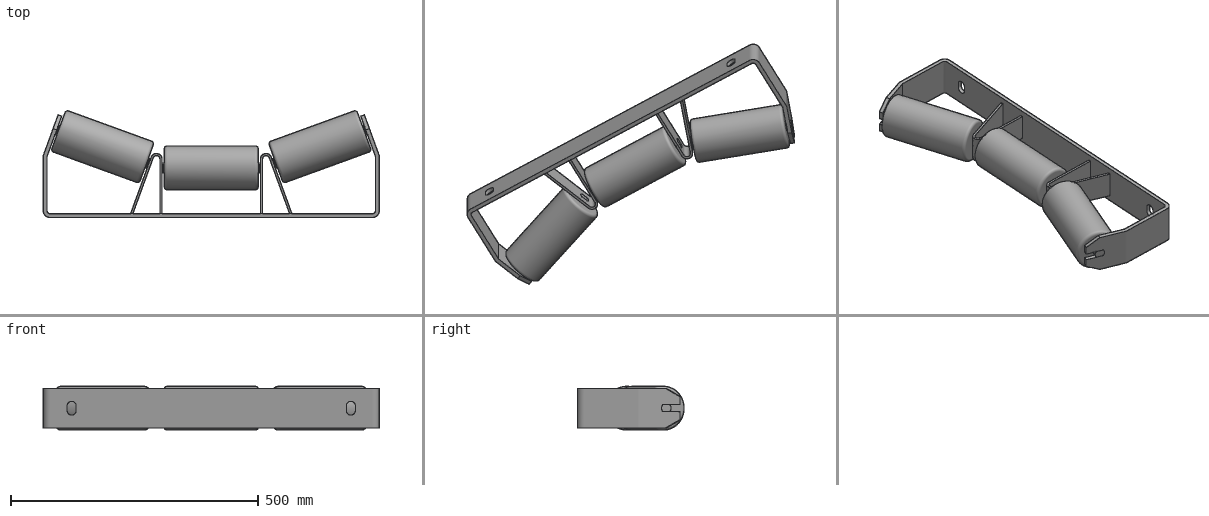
import cadquery as cq
import math

FRAME_LENGTH = 680.0
FRAME_HALF = FRAME_LENGTH / 2
FRAME_WIDTH = 80.0
FRAME_THICKNESS = 8.0
CORNER_RADIUS = 14.0
CORNER_INNER_RADIUS = CORNER_RADIUS - FRAME_THICKNESS
SLOT_WIDTH = 18.5
SLOT_HEIGHT = 28.0
SLOT_X = 282.0

ROLLER_DIAMETER = 89.0
ROLLER_LENGTH = 190.5
ROLLER_FILLET = 6.0
TILT = 20.0
MIDDLE_ROLLER_Y = 100.5
SIDE_ROLLER_X = 219.5
SIDE_ROLLER_Y = 143.5

SHAFT_DIAMETER = 20.5
SHAFT_FLATS = 14.0
SHOULDER_LENGTH = 2.0

HANGER_GAP = 4.0
FRAME_GAP = 3.5
HANGER_OFFSET = ROLLER_LENGTH / 2 + HANGER_GAP
FRAME_OFFSET = ROLLER_LENGTH / 2 + FRAME_GAP

HANGER_WIDTH = 54.5
HANGER_THICKNESS = 5.0
HANGER_BEND_RADIUS = 11.5
HANGER_INNER_RADIUS = HANGER_BEND_RADIUS - HANGER_THICKNESS

END_REACH = 30.0
TIP_WIDTH = 47.5

SIN = math.sin(math.radians(TILT))
COS = math.cos(math.radians(TILT))
TAN = SIN / COS

MIDDLE_ROLLER = (0, MIDDLE_ROLLER_Y, 0)
RIGHT_ROLLER = (SIDE_ROLLER_X, SIDE_ROLLER_Y, TILT)
LEFT_ROLLER = (-SIDE_ROLLER_X, SIDE_ROLLER_Y, -TILT)


def place(shape, roller_place):
    """Move a shape built around a level roller axis to a roller's place."""
    x, y, angle = roller_place
    return shape.rotate((0, 0, 0), (0, 0, 1), angle).translate((x, y, 0))


def right_roller_point(along, across):
    """Point given along and across the axis of the right roller."""
    x = SIDE_ROLLER_X + along * COS - across * SIN
    y = SIDE_ROLLER_Y + along * SIN + across * COS
    return (x, y)


def point_at_x(along, x):
    """Point at x on the right-hand tilted plane that lies 'along' the right roller axis."""
    start_x, start_y = right_roller_point(along, 0)
    return (x, start_y - (x - start_x) / TAN)


def point_at_y(along, y):
    """Point at y on the right-hand tilted plane that lies 'along' the right roller axis."""
    start_x, start_y = right_roller_point(along, 0)
    return (start_x - (y - start_y) * TAN, y)


def shaft_end(start, length):
    """Round bar with two flats facing up and down."""
    bar = cq.Workplane("YZ", origin=(start, 0, 0)).circle(SHAFT_DIAMETER / 2).extrude(length)
    between_flats = cq.Workplane("YZ", origin=(start, 0, 0)).rect(SHAFT_DIAMETER, SHAFT_FLATS).extrude(length)
    return bar.intersect(between_flats)


def roller(left_reach, right_reach):
    """Roller whose flatted shaft ends reach the given distances from its middle."""
    half_shoulders = ROLLER_LENGTH / 2 + SHOULDER_LENGTH
    shell = (
        cq.Workplane("YZ", origin=(-ROLLER_LENGTH / 2, 0, 0))
        .circle(ROLLER_DIAMETER / 2)
        .extrude(ROLLER_LENGTH)
        .edges()
        .fillet(ROLLER_FILLET)
    )
    shoulders = (
        cq.Workplane("YZ", origin=(-half_shoulders, 0, 0))
        .circle(SHAFT_DIAMETER / 2)
        .extrude(2 * half_shoulders)
    )
    return shell.union(shoulders).union(shaft_end(-left_reach, left_reach + right_reach))


def frame_end_cutter():
    """Corners and open shaft slot to remove from a frame end, placed around a level roller axis."""
    inner_face = cq.Plane.named("YZ", (FRAME_OFFSET, 0, 0))
    slot = (
        cq.Workplane(inner_face)
        .center(END_REACH / 2, 0)
        .rect(END_REACH, SHAFT_FLATS)
        .extrude(FRAME_THICKNESS)
    )
    cutter = slot.union(shaft_end(FRAME_OFFSET, FRAME_THICKNESS))
    for side in (-1, 1):
        corner = [
            (0, side * FRAME_WIDTH / 2),
            (END_REACH, side * FRAME_WIDTH / 2),
            (END_REACH, side * TIP_WIDTH / 2),
        ]
        cutter = cutter.union(cq.Workplane(inner_face).polyline(corner).close().extrude(FRAME_THICKNESS))
    return cutter


def frame_half_profile():
    """Right half of the bent strip seen along Z."""
    inner_x = FRAME_HALF - FRAME_THICKNESS
    outer_plane = FRAME_OFFSET + FRAME_THICKNESS
    pivot_x, pivot_y = point_at_x(FRAME_OFFSET, inner_x)

    def bend_point(angle):
        radians = math.radians(angle)
        return (pivot_x + FRAME_THICKNESS * math.cos(radians), pivot_y + FRAME_THICKNESS * math.sin(radians))

    return (
        cq.Workplane("XY")
        .moveTo(0, 0)
        .lineTo(FRAME_HALF - CORNER_RADIUS, 0)
        .radiusArc((FRAME_HALF, CORNER_RADIUS), -CORNER_RADIUS)
        .lineTo(FRAME_HALF, pivot_y)
        .threePointArc(bend_point(TILT / 2), bend_point(TILT))
        .lineTo(*right_roller_point(outer_plane, END_REACH))
        .lineTo(*right_roller_point(FRAME_OFFSET, END_REACH))
        .lineTo(pivot_x, pivot_y)
        .lineTo(inner_x, CORNER_RADIUS)
        .radiusArc((FRAME_HALF - CORNER_RADIUS, FRAME_THICKNESS), CORNER_INNER_RADIUS)
        .lineTo(0, FRAME_THICKNESS)
        .close()
    )


def frame():
    """Base strip with upturned sides whose ends lean in square to the side rollers."""
    half = frame_half_profile().extrude(FRAME_WIDTH / 2, both=True)
    half = half.cut(place(frame_end_cutter(), RIGHT_ROLLER))
    mounting_slot = (
        cq.Workplane("XZ")
        .center(SLOT_X, 0)
        .slot2D(SLOT_HEIGHT, SLOT_WIDTH, 90)
        .extrude(-FRAME_THICKNESS)
    )
    half = half.cut(mounting_slot)
    return half.union(half.mirror("YZ")).clean()


def right_hanger():
    """Folded plate between the middle and right rollers: an upright leg and a tilted leg."""
    upright_x = HANGER_OFFSET
    tilted_plane = -HANGER_OFFSET
    bend_x = upright_x + HANGER_BEND_RADIUS
    bend_y = point_at_x(tilted_plane - HANGER_BEND_RADIUS, bend_x)[1]

    def bend_point(radius, angle):
        radians = math.radians(angle)
        return (bend_x + radius * math.cos(radians), bend_y + radius * math.sin(radians))

    mid_angle = (180 + TILT) / 2
    profile = (
        cq.Workplane("XY")
        .moveTo(upright_x, FRAME_THICKNESS)
        .lineTo(upright_x, bend_y)
        .threePointArc(bend_point(HANGER_BEND_RADIUS, mid_angle), bend_point(HANGER_BEND_RADIUS, TILT))
        .lineTo(*point_at_y(tilted_plane, FRAME_THICKNESS))
        .lineTo(*point_at_y(tilted_plane - HANGER_THICKNESS, FRAME_THICKNESS))
        .lineTo(*bend_point(HANGER_INNER_RADIUS, TILT))
        .threePointArc(bend_point(HANGER_INNER_RADIUS, mid_angle), bend_point(HANGER_INNER_RADIUS, 180))
        .lineTo(upright_x + HANGER_THICKNESS, FRAME_THICKNESS)
        .close()
    )
    plate = profile.extrude(HANGER_WIDTH / 2, both=True)
    upright_hole = shaft_end(upright_x, HANGER_THICKNESS)
    tilted_hole = shaft_end(tilted_plane - HANGER_THICKNESS, HANGER_THICKNESS)
    return plate.cut(place(upright_hole, MIDDLE_ROLLER)).cut(place(tilted_hole, RIGHT_ROLLER))


trough_frame = frame()
hanger = right_hanger()
hangers = [hanger, hanger.mirror("YZ")]

hanger_reach = HANGER_OFFSET + HANGER_THICKNESS
frame_reach = FRAME_OFFSET + FRAME_THICKNESS
left_roller = place(roller(frame_reach, hanger_reach), LEFT_ROLLER)
middle_roller = place(roller(hanger_reach, hanger_reach), MIDDLE_ROLLER)
right_roller = place(roller(hanger_reach, frame_reach), RIGHT_ROLLER)
rollers = [left_roller, middle_roller, right_roller]

bodies = [trough_frame, *hangers, *rollers]
result = cq.Compound.makeCompound([body.solids().val() for body in bodies])